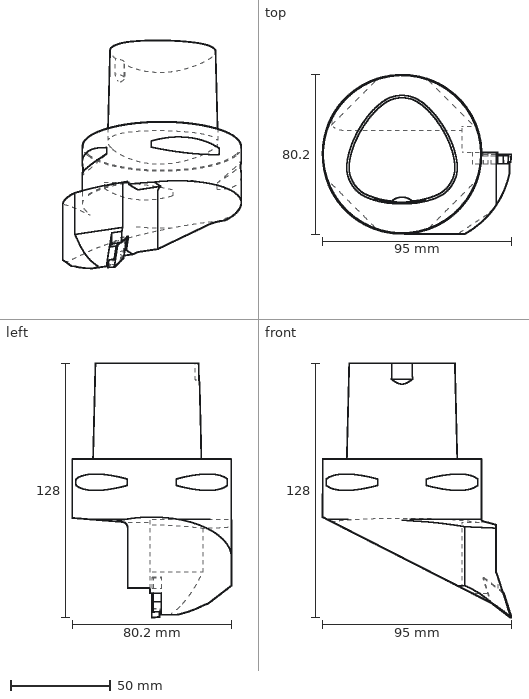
import cadquery as cq
import math

margin = 2.0

flange_radius = 40.0
flange_height = 30.5
flange_chamfer = 0.4

groove_angles = (45, 135, 225, 315)
groove_level = -11.9
groove_floor_width = 3.2
groove_depth = 4.4
groove_flank_angle = 30.0
groove_fillet = 0.5

shank_height = 48.0
shank_base_radius = 27.55
shank_taper = 1 / 40
lobe_height = 2.25
lobe_rounding = -0.25
lobe_angles = (90, 210, 330)
lobe_pitch = 120
lobe_half_span = 35.5
section_steps = 8

notch_radius = 7.5
notch_center_y = -29.1
notch_depth = 8.1
notch_cone_angle = 45.0

head_bottom = -90.0
neck_radius = 40.1
head_side_y = -40.2
head_side_start_x = 20.0
head_arc_center = (9.55, -0.4)
head_arc_radius = 45.45
head_front_y = 0.9
head_right_x = 47.3
head_right_bottom_z = -57.0
shoulder_angle = 15.0
shoulder_fillet = 1.0
underside_angle = 27.0
underside_left_z = -29.4
relief_start_z = -63.8
relief_slope = 0.77

pocket_wall_y = 12.1
pocket_ceiling_slope = 0.08
pocket_outer_z = -29.9
pocket_fillet = 3.0
pocket_step_x = 30.0
pocket_step_fillet = 1.2

insert_angle = 35.0
insert_inscribed_circle = 7.94
insert_thickness = 4.76
insert_tip_thickness = 4.0
insert_land = 0.8
insert_clearance = 5.0
insert_nose_radius = 0.4
insert_core_inset = 0.3
insert_tip_length = 5.5
insert_reach_x = 55.0
insert_reach_z = -80.0
insert_axis_angle = 125.0

seat_right_x = 48.2
seat_bottom_z = -67.8
tip_radius = 0.6
tip_setback = insert_thickness * math.tan(math.radians(insert_clearance))


def along(start, angle, distance):
    """Point at a distance from start in the given direction."""
    turn = math.radians(angle)
    return (start[0] + distance * math.cos(turn), start[1] + distance * math.sin(turn))


def span_box(x_range, y_range, z_range):
    """Box given by its limits on each axis."""
    size = [limits[1] - limits[0] for limits in (x_range, y_range, z_range)]
    corner = (x_range[0], y_range[0], z_range[0])
    return cq.Workplane("XY").box(*size, centered=False).translate(corner)


head_reach = insert_reach_x + margin

half_angle = insert_angle / 2
sin_half = math.sin(math.radians(half_angle))
insert_side = insert_inscribed_circle / math.sin(math.radians(insert_angle))
nose_center = (insert_reach_x - insert_nose_radius, insert_reach_z + insert_nose_radius)
sharp_tip = along(nose_center, insert_axis_angle + 180, insert_nose_radius / sin_half)
right_edge_angle = insert_axis_angle - half_angle
lower_edge_angle = insert_axis_angle + half_angle


def rhombus(inset):
    """Corners of the insert outline, moved inward by the inset."""
    tip = along(sharp_tip, insert_axis_angle, inset / sin_half)
    side = insert_side - 2 * inset / math.sin(math.radians(insert_angle))
    right = along(tip, right_edge_angle, side)
    left = along(tip, lower_edge_angle, side)
    back = along(right, lower_edge_angle, side)
    return [tip, right, back, left, tip]


def rounded_rhombus():
    """Insert outline with rounded corners."""
    return cq.Sketch().polygon(rhombus(0)).vertices().fillet(insert_nose_radius)


def make_insert():
    """Insert with a full-outline land, a full-outline tip and a set-in core."""
    blank = (
        cq.Workplane("XZ")
        .placeSketch(rounded_rhombus())
        .extrude(insert_tip_thickness, taper=insert_clearance)
    )
    core_start = along(sharp_tip, insert_axis_angle, insert_tip_length)
    block_shift = along((0, 0), insert_axis_angle, insert_side)
    beyond_tip = (
        cq.Workplane("XZ")
        .transformed(offset=(*core_start, insert_land), rotate=(0, 0, insert_axis_angle))
        .rect(2 * insert_side, 2 * insert_side)
        .extrude(insert_thickness - insert_land)
        .translate((block_shift[0], 0, block_shift[1]))
    )
    core = (
        cq.Workplane("XZ", origin=(0, -insert_land, 0))
        .polyline(rhombus(insert_core_inset))
        .close()
        .extrude(insert_thickness - insert_land)
        .intersect(beyond_tip)
    )
    return blank.cut(beyond_tip).union(core)


def shank_section(mean_radius, height):
    """Closed wire of the polygon section: three lobes and three flatter sides.

    The angle is the direction of the outward normal. The reach is the distance from the
    axis to the tangent line there, and the slide (its derivative) runs along that line.
    """

    def point(angle):
        turn = math.radians(angle)
        lobe_turn = math.radians(3 * (angle - lobe_angles[0]))
        reach = mean_radius + lobe_height * math.cos(lobe_turn) + lobe_rounding * math.cos(2 * lobe_turn)
        slide = -3 * lobe_height * math.sin(lobe_turn) - 6 * lobe_rounding * math.sin(2 * lobe_turn)
        return cq.Vector(
            reach * math.cos(turn) - slide * math.sin(turn),
            reach * math.sin(turn) + slide * math.cos(turn),
            height,
        )

    def tangent(angle):
        turn = math.radians(angle)
        return cq.Vector(-math.sin(turn), math.cos(turn), 0)

    def stretch(start, end):
        step = (end - start) / section_steps
        angles = [start + step * i for i in range(section_steps + 1)]
        return cq.Edge.makeSpline([point(a) for a in angles], tangents=[tangent(start), tangent(end)])

    edges = []
    for lobe in lobe_angles:
        lobe_start = lobe - lobe_half_span
        lobe_end = lobe + lobe_half_span
        edges.append(stretch(lobe_start, lobe_end))
        edges.append(stretch(lobe_end, lobe_start + lobe_pitch))
    return cq.Wire.assembleEdges(edges)


def make_shank():
    """Tapered shank with the drilled key notch."""
    base = shank_section(shank_base_radius, 0)
    top = shank_section(shank_base_radius - shank_taper * shank_height, shank_height)
    shank = cq.Workplane(cq.Solid.makeLoft([base, top], True))
    notch_floor = shank_height - notch_depth
    cone_drop = notch_radius * math.tan(math.radians(notch_cone_angle))
    drill = (
        cq.Workplane("XZ")
        .moveTo(0, notch_floor - cone_drop)
        .lineTo(notch_radius, notch_floor)
        .lineTo(notch_radius, shank_height)
        .lineTo(0, shank_height)
        .close()
        .revolve(360, (0, 0), (0, 1))
        .translate((0, notch_center_y, 0))
    )
    return shank.cut(drill)


def make_groove(angle):
    """Straight V-groove cutter across the rim at the given angle."""
    floor_x = flange_radius - groove_depth
    mouth_x = flange_radius + margin
    half_floor = groove_floor_width / 2
    half_mouth = half_floor + (mouth_x - floor_x) * math.tan(math.radians(groove_flank_angle))
    return (
        cq.Workplane("XZ")
        .polyline([
            (floor_x, -half_floor), (mouth_x, -half_mouth), (mouth_x, half_mouth), (floor_x, half_floor),
        ])
        .close()
        .extrude(flange_radius, both=True)
        .edges("|Y and <X")
        .fillet(groove_fillet)
        .translate((0, 0, groove_level))
        .rotate((0, 0, 0), (0, 0, 1), angle)
    )


def make_flange():
    """Collar with its top edge chamfered and the gripper grooves cut."""
    flange = (
        cq.Workplane("XY")
        .circle(flange_radius)
        .extrude(-flange_height)
        .faces(">Z")
        .chamfer(flange_chamfer)
    )
    for angle in groove_angles:
        flange = flange.cut(make_groove(angle))
    return flange


def head_arc_x(y):
    """X of the arc that bounds the wing, at a given Y."""
    return head_arc_center[0] + math.sqrt(head_arc_radius**2 - (y - head_arc_center[1]) ** 2)


def make_neck():
    """Wing under the flange: its outline, topped by the conical shoulder."""
    arc_turn = 90 - shoulder_angle
    arc_center = (flange_radius + shoulder_fillet, -flange_height)
    arc_middle = along(arc_center, 180 + arc_turn / 2, shoulder_fillet)
    arc_end = along(arc_center, 180 + arc_turn, shoulder_fillet)
    rim_z = arc_end[1] - (head_reach - arc_end[0]) * math.tan(math.radians(shoulder_angle))
    turned = (
        cq.Workplane("XZ")
        .moveTo(0, -flange_height)
        .lineTo(flange_radius, -flange_height)
        .threePointArc(arc_middle, arc_end)
        .lineTo(head_reach, rim_z)
        .lineTo(head_reach, head_bottom)
        .lineTo(0, head_bottom)
        .close()
        .revolve(360, (0, 0), (0, 1))
    )
    round_part = cq.Workplane("XY").circle(neck_radius).extrude(head_bottom)
    side_end_x = head_arc_x(head_side_y)
    front_end_x = head_arc_x(head_front_y)
    head_arc_middle = (head_arc_x(head_side_y / 2), head_side_y / 2)
    wing = (
        cq.Workplane("XY")
        .moveTo(0, head_front_y)
        .lineTo(0, -neck_radius)
        .lineTo(head_side_start_x, head_side_y)
        .lineTo(side_end_x, head_side_y)
        .threePointArc(head_arc_middle, (front_end_x, head_front_y))
        .close()
        .extrude(head_bottom)
    )
    return turned.intersect(round_part.union(wing))


def make_side_profile():
    """Head seen along Y: sloping underside, pointed tip and right edge, extruded through."""
    slope = math.tan(math.radians(underside_angle))
    tip = along(sharp_tip, insert_axis_angle, tip_setback / sin_half)
    tip_slope = math.tan(math.radians(180 - lower_edge_angle))
    seat_top_z = tip[1] + (tip[0] - seat_right_x) * math.tan(math.radians(180 - right_edge_angle))
    left_x = -flange_radius - margin
    left_z = underside_left_z + margin * slope
    bend_run = (left_z - tip[1] - tip_slope * (tip[0] - left_x)) / (slope - tip_slope)
    bend_x = left_x + bend_run
    bend_z = left_z - slope * bend_run
    profile = (
        cq.Workplane("XZ")
        .polyline([
            (left_x, 0), (left_x, left_z), (bend_x, bend_z), tip, (seat_right_x, seat_top_z),
            (head_right_x, head_right_bottom_z), (head_right_x, 0),
        ])
        .close()
        .extrude(flange_radius + margin, both=True)
    )
    return profile.edges(cq.NearestToPointSelector((tip[0], 0, tip[1]))).fillet(tip_radius)


def make_chip_pocket():
    """Cutter for the +Y side: a pocket along X with a deeper step at the tip end."""
    outer_y = flange_radius + margin
    outer_z = pocket_outer_z + pocket_ceiling_slope * (outer_y - flange_radius)
    inner_z = outer_z - pocket_ceiling_slope * (outer_y - pocket_wall_y)
    main = (
        cq.Workplane("YZ")
        .polyline([
            (outer_y, outer_z), (pocket_wall_y, inner_z),
            (pocket_wall_y, head_bottom), (outer_y, head_bottom),
        ])
        .close()
        .extrude(head_reach, both=True)
        .edges(cq.NearestToPointSelector((0, pocket_wall_y, inner_z)))
        .fillet(pocket_fillet)
    )
    step_depth = (head_front_y, pocket_wall_y + pocket_fillet)
    step = (
        span_box((pocket_step_x, head_reach), step_depth, (head_bottom, inner_z))
        .edges("|Z and <X and <Y")
        .fillet(pocket_step_fillet)
    )
    return main.union(step)


def make_relief():
    """Cutter for the sloping relief under the head's -Y side."""
    outer_y = head_side_y - margin
    outer_z = relief_start_z + margin * relief_slope
    end_y = head_side_y + (relief_start_z - head_bottom) / relief_slope
    return (
        cq.Workplane("YZ")
        .polyline([(outer_y, outer_z), (end_y, head_bottom), (outer_y, head_bottom)])
        .close()
        .extrude(head_reach)
    )


def make_seat():
    """Cutter for the insert seat: the rhombus, open at the right and at the bottom."""
    y_range = (-insert_thickness, head_front_y + margin)
    depth = y_range[1] - y_range[0]
    nest = (
        cq.Workplane("XZ", origin=(0, y_range[1], 0))
        .placeSketch(rounded_rhombus())
        .extrude(depth)
    )
    right = span_box((seat_right_x, head_reach), y_range, (head_bottom, -flange_height))
    bottom = span_box((pocket_step_x, head_reach), y_range, (head_bottom, seat_bottom_z))
    return nest.union(right).union(bottom)


def make_holder():
    """Holder: shank, flange and head as one solid."""
    lower = make_flange().union(make_neck(), clean=False)
    lower = lower.intersect(make_side_profile())
    for cutter in (make_chip_pocket(), make_relief(), make_seat()):
        lower = lower.cut(cutter)
    return make_shank().union(lower)


holder = make_holder()
insert = make_insert()
result = cq.Compound.makeCompound([*holder.solids().vals(), *insert.solids().vals()])